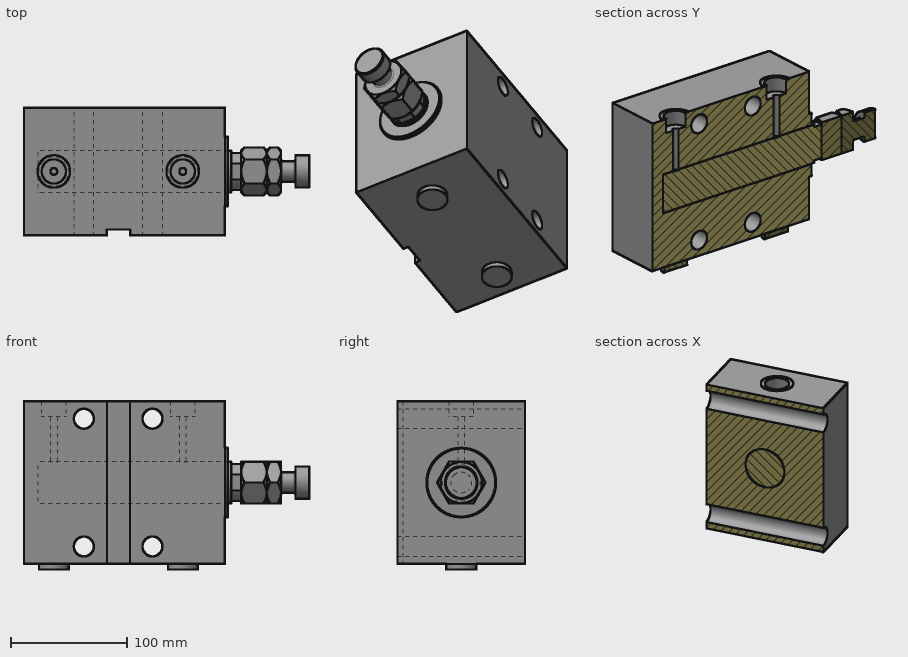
import cadquery as cq

BLOCK_LENGTH = 173.0
BLOCK_WIDTH = 110.0
BLOCK_HEIGHT = 140.0
EDGE_CHAMFER = 0.2
AXIS_HEIGHT = BLOCK_HEIGHT / 2

KEYWAY_START = 71.5
KEYWAY_WIDTH = 20.0
KEYWAY_DEPTH = 5.0

BOLT_HOLE_DIAMETER = 17.0
BOLT_HOLE_X = 51.7
BOLT_SPACING_X = 59.0
BOLT_SPACING_Z = 110.0

PORT_XS = (25.8, 136.8)
PORT_DIAMETER = 21.0
PORT_DEPTH = 13.3
PORT_SPOTFACE_DIAMETER = 28.0
PORT_SPOTFACE_DEPTH = 0.2
PORT_PASSAGE_DIAMETER = 6.0

GLAND_DIAMETER = 60.0
GLAND_THICKNESS = 3.0
GLAND_CHAMFER = 0.7

PLUG_DIAMETER = 25.8
PLUG_HEIGHT = 5.0

ROD_START = 12.3
ROD_DIAMETER = 36.0
ROD_CHAMFER = 0.7
COLLAR_END = BLOCK_LENGTH + 6.0
FLATS_DIAMETER = 35.0
FLATS_ACROSS = 32.0

NUT_START = BLOCK_LENGTH + 14.0
NUT_LENGTH = 22.1
HEX_ACROSS_CORNERS = 41.5
HEX_CHAMFER = 3.0

PIN_START = NUT_START + NUT_LENGTH
PIN_HEX_LENGTH = 12.3
PIN_END = 246.0
NECK_DIAMETER = 18.0
NECK_FILLET = 1.2
HEAD_DIAMETER = 28.0
HEAD_LENGTH = 12.3
HEAD_CHAMFER = 0.7


def axis_plane(x):
    """Plane facing +X whose origin is on the rod axis at the given X."""
    return cq.Plane(origin=(x, 0, AXIS_HEIGHT), xDir=(0, 0, 1), normal=(1, 0, 0))


def cylinder(start, end, diameter):
    """Cylinder along the rod axis."""
    return cq.Workplane(axis_plane(start)).circle(diameter / 2).extrude(end - start)


def chamfered_hexagon(start, length):
    """Hexagon along the rod axis with bevelled corners and its top and bottom flats level."""
    outline = cq.Workplane(axis_plane(start)).transformed(rotate=(0, 0, 30))
    hexagon = outline.polygon(6, HEX_ACROSS_CORNERS).extrude(length)
    bevel = cylinder(start, start + length, HEX_ACROSS_CORNERS).edges("%CIRCLE").chamfer(HEX_CHAMFER)
    return hexagon.intersect(bevel)


def make_plain_block():
    center = (BLOCK_LENGTH / 2, 0, AXIS_HEIGHT)
    block = cq.Workplane("XY", origin=center).box(BLOCK_LENGTH, BLOCK_WIDTH, BLOCK_HEIGHT)
    return block.edges("|X").chamfer(EDGE_CHAMFER)


def make_keyway():
    """Full-height groove in the front face."""
    center = (KEYWAY_START + KEYWAY_WIDTH / 2, -BLOCK_WIDTH / 2, AXIS_HEIGHT)
    return cq.Workplane("XY", origin=center).box(KEYWAY_WIDTH, 2 * KEYWAY_DEPTH, BLOCK_HEIGHT)


def make_bolt_holes():
    """Four cylinders running through the block from front to back."""
    center = (BOLT_HOLE_X + BOLT_SPACING_X / 2, BLOCK_WIDTH / 2, AXIS_HEIGHT)
    corners = cq.Workplane("XZ", origin=center).rect(BOLT_SPACING_X, BOLT_SPACING_Z, forConstruction=True)
    return corners.vertices().circle(BOLT_HOLE_DIAMETER / 2).extrude(BLOCK_WIDTH)


def make_port(x):
    """Spotfaced port bore with a narrow passage down to the rod."""
    top = cq.Workplane("XY", origin=(x, 0, BLOCK_HEIGHT))
    spotface = top.circle(PORT_SPOTFACE_DIAMETER / 2).extrude(-PORT_SPOTFACE_DEPTH)
    bore = top.circle(PORT_DIAMETER / 2).extrude(-PORT_DEPTH)
    passage = top.circle(PORT_PASSAGE_DIAMETER / 2).extrude(-BLOCK_HEIGHT / 2)
    return spotface.union(bore).union(passage)


def make_housing():
    gland_end = BLOCK_LENGTH + GLAND_THICKNESS
    gland = cylinder(BLOCK_LENGTH, gland_end, GLAND_DIAMETER).faces(">X").chamfer(GLAND_CHAMFER)
    housing = make_plain_block().cut(make_keyway()).cut(make_bolt_holes()).union(gland)
    for x in PORT_XS:
        housing = housing.cut(make_port(x))
    return housing.cut(cylinder(ROD_START, gland_end, ROD_DIAMETER))


def make_plug(x):
    return cq.Workplane("XY", origin=(x, 0, -PLUG_HEIGHT)).circle(PLUG_DIAMETER / 2).extrude(PLUG_HEIGHT)


def make_rod():
    """Plain rod ending in a slimmer wrench section with four flats."""
    shaft = cylinder(ROD_START, COLLAR_END, ROD_DIAMETER).faces(">X").chamfer(ROD_CHAMFER)
    flats = cq.Workplane(axis_plane(COLLAR_END)).rect(FLATS_ACROSS, FLATS_ACROSS)
    wrench_end = flats.extrude(NUT_START - COLLAR_END)
    wrench_end = wrench_end.intersect(cylinder(COLLAR_END, NUT_START, FLATS_DIAMETER))
    return shaft.union(wrench_end)


def make_pin():
    """Hexagon, neck filleted at both ends, and a round head with a bevelled rim."""
    neck_start = PIN_START + PIN_HEX_LENGTH
    head_start = PIN_END - HEAD_LENGTH
    neck_radius = NECK_DIAMETER / 2
    head_radius = HEAD_DIAMETER / 2
    profile = (
        cq.Workplane("XZ", origin=(0, 0, AXIS_HEIGHT))
        .moveTo(neck_start, 0)
        .lineTo(neck_start, neck_radius + NECK_FILLET)
        .radiusArc((neck_start + NECK_FILLET, neck_radius), -NECK_FILLET)
        .lineTo(head_start - NECK_FILLET, neck_radius)
        .radiusArc((head_start, neck_radius + NECK_FILLET), -NECK_FILLET)
        .lineTo(head_start, head_radius)
        .lineTo(PIN_END - HEAD_CHAMFER, head_radius)
        .lineTo(PIN_END, head_radius - HEAD_CHAMFER)
        .lineTo(PIN_END, 0)
        .close()
    )
    stud = profile.revolve(360, (0, 0, 0), (1, 0, 0))
    return chamfered_hexagon(PIN_START, PIN_HEX_LENGTH).union(stud)


housing = make_housing()
plugs = [make_plug(x) for x in PORT_XS]
rod = make_rod()
nut = chamfered_hexagon(NUT_START, NUT_LENGTH)
pin = make_pin()

result = cq.Compound.makeCompound(
    [housing.val(), *[plug.val() for plug in plugs], rod.val(), nut.val(), pin.val()]
)